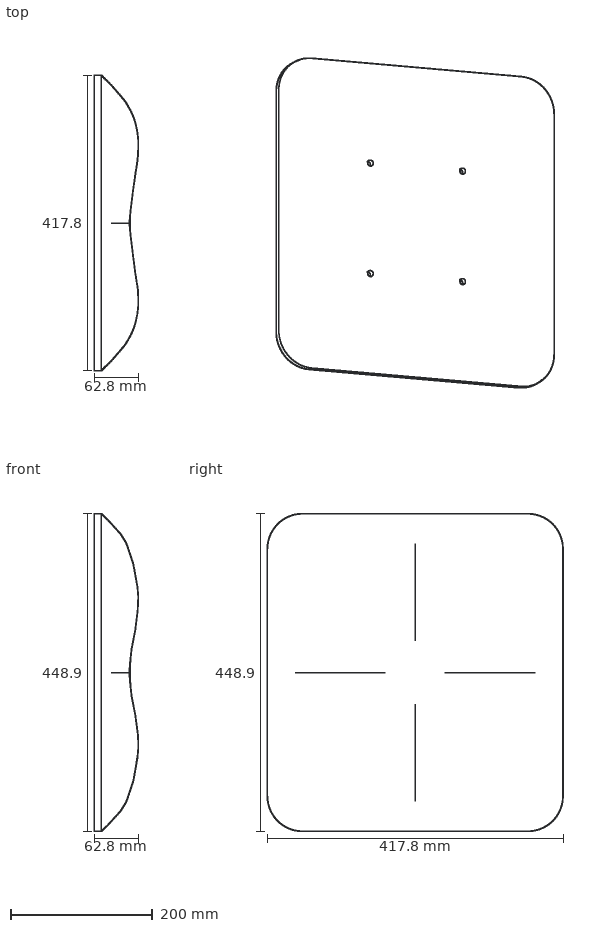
import cadquery as cq
import math

total_depth = 62.85
width = 417.82
height = 448.85
corner_radius = 50.0
plate_thickness = 10.5

hole_diameter = 8.5
hole_pitch_y = 140.0
hole_pitch_z = 160.0

center_height = 40.8
pad_height = total_depth - plate_thickness
peak_y = 109.0
peak_z = 101.0

low_shoulder_inset = 30.0
low_shoulder_height = 28.0
high_shoulder_inset_y = 60.0
high_shoulder_height_y = 45.5
high_shoulder_inset_z = 64.0
high_shoulder_height_z = 43.0
corner_shoulder_inset = 45.0
corner_shoulder_height = 27.0

half_width = width / 2
half_height = height / 2


def make_blank_plate():
    plate = cq.Workplane("YZ").rect(width, height).extrude(plate_thickness)
    return plate.edges("|X").fillet(corner_radius)


def make_back_plate():
    holes = (
        cq.Workplane("YZ")
        .rect(hole_pitch_y, hole_pitch_z, forConstruction=True)
        .vertices()
        .circle(hole_diameter / 2)
        .extrude(plate_thickness)
    )
    return make_blank_plate().cut(holes)


def cushion_point(y, z, rise=0.0):
    """Point at a height above the front of the back plate."""
    return cq.Vector(plate_thickness + rise, y, z)


def make_pad_surface():
    """Domed surface of the pad on the +Y +Z side, filled between its two valleys and the rim."""
    center = cushion_point(0, 0, center_height)
    side_middle = cushion_point(half_width, 0)
    top_middle = cushion_point(0, half_height)

    arc_start = cushion_point(half_width, half_height - corner_radius)
    arc_end = cushion_point(half_width - corner_radius, half_height)
    arc_inset = corner_radius * (1 - math.sqrt(0.5))
    arc_middle = cushion_point(half_width - arc_inset, half_height - arc_inset)

    boundary = [
        cq.Edge.makeTangentArc(center, cq.Vector(0, 1, 0), side_middle),
        cq.Edge.makeLine(side_middle, arc_start),
        cq.Edge.makeThreePointArc(arc_start, arc_middle, arc_end),
        cq.Edge.makeLine(arc_end, top_middle),
        cq.Edge.makeTangentArc(center, cq.Vector(0, 0, 1), top_middle),
    ]
    corner_y = half_width - corner_shoulder_inset
    corner_z = half_height - corner_shoulder_inset
    crown_points = [
        cushion_point(peak_y, peak_z, pad_height),
        cushion_point(half_width - low_shoulder_inset, peak_z, low_shoulder_height),
        cushion_point(half_width - high_shoulder_inset_y, peak_z, high_shoulder_height_y),
        cushion_point(peak_y, half_height - low_shoulder_inset, low_shoulder_height),
        cushion_point(peak_y, half_height - high_shoulder_inset_z, high_shoulder_height_z),
        cushion_point(corner_y, corner_z, corner_shoulder_height),
    ]
    return cq.Face.makeNSidedSurface(boundary, crown_points)


def make_cushion():
    pad = make_pad_surface()
    upper_pads = [pad, pad.mirror("XZ")]
    pads = upper_pads + [upper_pad.mirror("XY") for upper_pad in upper_pads]
    back = make_blank_plate().faces(">X").val()
    return cq.Solid.makeSolid(cq.Shell.makeShell(pads + [back]))


back_plate = make_back_plate()
cushion = make_cushion()

result = cq.Compound.makeCompound([back_plate.val(), cushion])